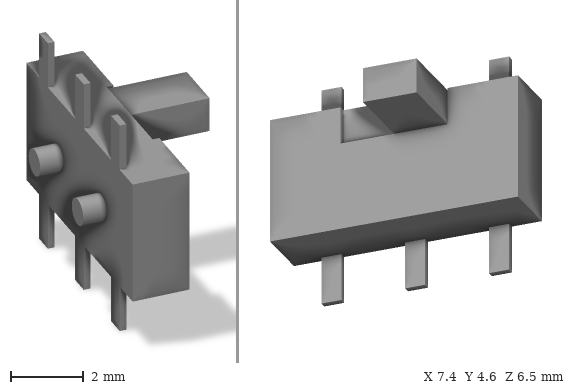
import cadquery as cq

body_width = 7.4
body_depth = 1.7
body_height = 3.7

terminal_width = 0.6
terminal_thickness = 0.2
terminal_span = 6.5
terminal_pitch = 2.5

peg_diameter = 0.8
peg_length = 0.7
peg_spacing = 3.0

total_depth = 4.6
lever_width = 1.6
lever_height = 1.035
lever_top_gap = 0.07
lever_tip = total_depth - peg_length
lever_top = body_height / 2 - lever_top_gap
lever_bottom = lever_top - lever_height

recess_width = 2 * lever_width
recess_depth = 0.2
recess_floor = body_depth - recess_depth


def block(x_min, x_max, y_min, y_max, z_min, z_max):
    """Box between the given limits."""
    size = (x_max - x_min, y_max - y_min, z_max - z_min)
    return cq.Workplane("XY").box(*size, centered=False).translate((x_min, y_min, z_min))


def make_housing():
    housing = block(-body_width / 2, body_width / 2, 0, body_depth, -body_height / 2, body_height / 2)
    recess = block(
        -recess_width / 2, recess_width / 2, recess_floor, body_depth, lever_bottom, body_height / 2
    )
    return housing.cut(recess)


def make_lever():
    left = -recess_width / 2
    return block(left, left + lever_width, recess_floor, lever_tip, lever_bottom, lever_top)


def make_terminal(x):
    return block(
        x - terminal_width / 2, x + terminal_width / 2,
        0, terminal_thickness,
        -terminal_span / 2, terminal_span / 2,
    )


def make_pegs():
    centres = [(-peg_spacing / 2, 0), (peg_spacing / 2, 0)]
    return cq.Workplane("XZ").pushPoints(centres).circle(peg_diameter / 2).extrude(peg_length)


result = make_housing().union(make_lever()).union(make_pegs())
for position in (-1, 0, 1):
    result = result.union(make_terminal(position * terminal_pitch))